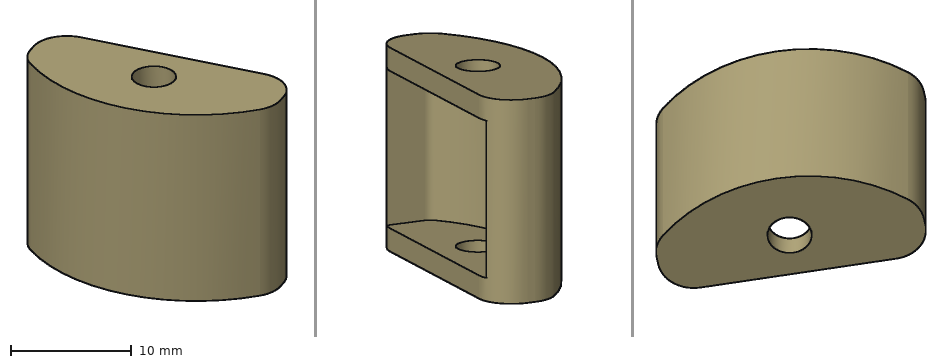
import cadquery as cq
import math

width = 22.5
depth = 10.0
height = 17.5

front_radius = 15.0
corner_radius = 3.0

wall = 2.0

hole_diameter = 3.67
hole_to_back = 4.0

back_y = depth / 2
bow_center_y = front_radius - depth / 2

corner_x = width / 2 - corner_radius
center_distance = front_radius - corner_radius
front_corner_y = bow_center_y - math.sqrt(center_distance**2 - corner_x**2)


def make_bowed_prism(inset, prism_height):
    """Extrude the outline moved inward at its sides and front; the back corners stay square."""
    bow_radius = front_radius - inset
    radius = corner_radius - inset
    side_x = width / 2 - inset

    tangent_angle = math.atan2(front_corner_y - bow_center_y, corner_x)
    tangent_x = bow_radius * math.cos(tangent_angle)
    tangent_y = bow_center_y + bow_radius * math.sin(tangent_angle)
    corner_mid_x = corner_x + radius * math.cos(tangent_angle / 2)
    corner_mid_y = front_corner_y + radius * math.sin(tangent_angle / 2)

    return (
        cq.Workplane("XY")
        .moveTo(-side_x, back_y)
        .lineTo(side_x, back_y)
        .lineTo(side_x, front_corner_y)
        .threePointArc((corner_mid_x, corner_mid_y), (tangent_x, tangent_y))
        .threePointArc((0, bow_center_y - bow_radius), (-tangent_x, tangent_y))
        .threePointArc((-corner_mid_x, corner_mid_y), (-side_x, front_corner_y))
        .close()
        .extrude(prism_height)
    )


def make_body():
    prism = make_bowed_prism(0, height)
    return prism.faces(">Y").edges("|Z").fillet(corner_radius)


def make_cavity():
    return make_bowed_prism(wall, height - 2 * wall).translate((0, 0, wall))


def make_hole():
    return (
        cq.Workplane("XY")
        .center(0, back_y - hole_to_back)
        .circle(hole_diameter / 2)
        .extrude(height)
    )


result = make_body().cut(make_cavity()).cut(make_hole())